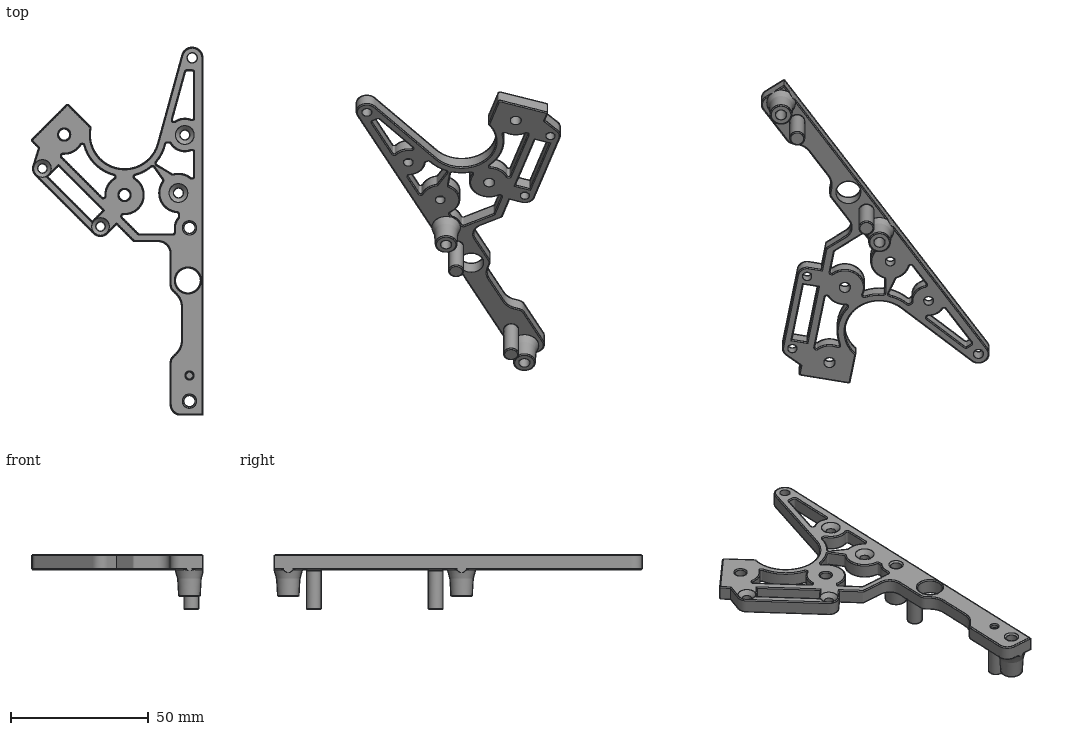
import cadquery as cq
import math


plate_thickness = 5.5
overall_width = 62.2
overall_height = 20.0
arm_length = 133.6
arm_width = 11.9
edge_chamfer = 0.4
window_fillet = 0.6

motor_spacing = 21.92
motor_x = -28.45
motor_y = 101.85
motor_clearance_radius = 12.4
ring_radius = 15.3
motor_hub_radius = 7.15
motor_screw_hole_diameter = 4.0
motor_center = (motor_x, motor_y)
upper_motor_screw = (motor_x - motor_spacing, motor_y)
lower_motor_screw = (motor_x, motor_y - motor_spacing)

tip_radius = 3.9
tip_center = (-tip_radius, arm_length - tip_radius)
tip_hole_diameter = 3.6

arm_screw_diameter = 3.5
arm_countersink_diameter = 6.8
lower_arm_hub_radius = 7.15
upper_arm_hub_radius = 6.1
upper_arm_screw = (-6.57, 101.7)
lower_arm_screw = (-8.9, 80.65)

bracket_screw_diameter = 3.3
bracket_countersink_diameter = 6.4
bracket_radius = 3.6
bracket_angle = -45
upper_bracket_screw = (-58.25, 89.55)
bracket_screw_spacing = 29.8
slot_length = 22.8
slot_width = 5.5
slot_offset = 2.0

standoff_x = -4.9
standoff_y_positions = (5.1, 68.0)
standoff_hole_diameter = 4.0
standoff_hole_chamfer = 0.6
standoff_length = 9.7
standoff_flare_height = 3.2
standoff_root_radius = 5.2
standoff_neck_radius = 4.3
standoff_end_radius = 3.95
standoff_end_chamfer = 0.4
upper_standoff_hub_radius = 5.5
pin_x = -4.2
pin_y_positions = (14.4, 58.6)
pin_diameter = 5.5
pin_chamfer = 0.4
pin_length = overall_height - plate_thickness

small_hole_center = (-4.9, 14.4)
small_hole_diameter = 2.5
small_hole_depth = 1.5
round_opening_center = (-5.45, 48.9)
round_opening_diameter = 9.0

waist_width = 7.8
waist_start_y = 20.4
waist_end_y = 46.0
waist_inner_start_y = waist_start_y + arm_width - waist_width
waist_inner_end_y = waist_end_y - arm_width + waist_width
waist_inner_fillet = 6.5
waist_outer_fillet = 3.0
corner_fillet = 3.8

brace_y = 63.0
brace_corner_x = -25.1
brace_notch_x = -31.35
brace_notch = (brace_notch_x, brace_y + brace_corner_x - brace_notch_x)
brace_fillet = 4.4
brace_corner_fillet = 1.0
brace_width = 2.75
diagonal_brace_width = 3.25
brace_sum = brace_corner_x + brace_y + diagonal_brace_width * math.sqrt(2)

mount_apex = (-49.15, 113.1)
mount_corner_fillet = 0.7
mount_left_x = -overall_width - mount_corner_fillet * (math.sqrt(2) - 1)
mount_left = (mount_left_x, mount_apex[1] - mount_apex[0] + mount_left_x)
mount_step_x = -59.7
mount_step = (mount_step_x, mount_left[1] + mount_left_x - mount_step_x)

rail_width = 3.4
slanted_rail_width = 2.9
top_window_upper_y = 125.0
top_window_lower_y = 106.6
middle_window_upper_y = 98.8
lower_window_right_x = lower_arm_screw[0]
strut_upper_edge = ((-18.4, 92.0), (-8.9, 86.2))
strut_lower_edge = ((-18.9, 91.5), (-13.0, 83.1))


def polar(center, radius, degrees):
    angle = math.radians(degrees)
    return (center[0] + radius * math.cos(angle), center[1] + radius * math.sin(angle))


def polygon(points):
    return cq.Workplane("XY").polyline(points).close().extrude(plate_thickness)


def disc(center, radius):
    return cq.Workplane("XY").center(*center).circle(radius).extrude(plate_thickness)


tip_dx = tip_center[0] - motor_x
tip_dy = tip_center[1] - motor_y
slant_angle = math.degrees(
    math.atan2(tip_dy, tip_dx)
    + math.asin((motor_clearance_radius + tip_radius) / math.hypot(tip_dx, tip_dy))
)
slant_start = polar(motor_center, motor_clearance_radius, slant_angle - 90)
slant_end = polar(tip_center, tip_radius, slant_angle + 90)

lower_bracket_screw = polar(upper_bracket_screw, bracket_screw_spacing, bracket_angle)


def clearance_start():
    """Where the 45 degree side that falls from the apex meets the motor clearance circle."""
    side_distance = (mount_apex[0] + mount_apex[1] - motor_x - motor_y) / math.sqrt(2)
    turn = math.degrees(math.acos(side_distance / motor_clearance_radius))
    return polar(motor_center, motor_clearance_radius, 45 + turn)


def bracket_edge(screw, degrees):
    return polar(screw, bracket_radius, degrees)


def outline():
    """Plate before its corners are rounded."""
    return (
        cq.Workplane("XY")
        .moveTo(0, 0)
        .lineTo(0, tip_center[1])
        .threePointArc(polar(tip_center, tip_radius, 90), slant_end)
        .lineTo(*slant_start)
        .threePointArc(polar(motor_center, motor_clearance_radius, 270), clearance_start())
        .lineTo(*mount_apex)
        .lineTo(*mount_left)
        .lineTo(*mount_step)
        .lineTo(*bracket_edge(upper_bracket_screw, 160))
        .threePointArc(bracket_edge(upper_bracket_screw, 190), bracket_edge(upper_bracket_screw, 225))
        .lineTo(*bracket_edge(lower_bracket_screw, 225))
        .threePointArc(bracket_edge(lower_bracket_screw, 270), bracket_edge(lower_bracket_screw, 315))
        .lineTo(*brace_notch)
        .lineTo(brace_corner_x, brace_y)
        .lineTo(-arm_width, brace_y)
        .lineTo(-arm_width, waist_end_y)
        .lineTo(-waist_width, waist_inner_end_y)
        .lineTo(-waist_width, waist_inner_start_y)
        .lineTo(-arm_width, waist_start_y)
        .lineTo(-arm_width, 0)
        .close()
        .extrude(plate_thickness)
    )


def fillet_at(body, x, y, radius):
    """Round the upright edge that stands at the given place."""
    reach = 0.05
    box = cq.selectors.BoxSelector(
        (x - reach, y - reach, -reach), (x + reach, y + reach, plate_thickness + reach)
    )
    return body.edges("|Z").edges(box).fillet(radius)


def rounded_outline():
    body = outline()
    body = fillet_at(body, -arm_width, 0, corner_fillet)
    body = fillet_at(body, -arm_width, brace_y, brace_fillet)
    for y in (waist_inner_end_y, waist_inner_start_y):
        body = fillet_at(body, -waist_width, y, waist_inner_fillet)
    for y in (waist_start_y, waist_end_y):
        body = fillet_at(body, -arm_width, y, waist_outer_fillet)
    body = fillet_at(body, brace_corner_x, brace_y, brace_corner_fillet)
    for x, y in (mount_apex, mount_left):
        body = fillet_at(body, x, y, mount_corner_fillet)
    return body


def top_window():
    slant = math.radians(slant_angle)
    shift = slanted_rail_width / math.sin(slant)

    def slanted_x(y):
        return slant_start[0] + shift + (y - slant_start[1]) / math.tan(slant)

    window = polygon([
        (slanted_x(top_window_lower_y), top_window_lower_y),
        (-rail_width, top_window_lower_y),
        (-rail_width, top_window_upper_y),
        (slanted_x(top_window_upper_y), top_window_upper_y),
    ])
    return window.cut(disc(upper_arm_screw, upper_arm_hub_radius))


def middle_window():
    window = polygon([
        strut_upper_edge[0],
        strut_upper_edge[1],
        lower_arm_screw,
        (-rail_width, lower_arm_screw[1]),
        (-rail_width, middle_window_upper_y),
        (motor_x + motor_clearance_radius, middle_window_upper_y),
    ])
    window = window.cut(disc(motor_center, ring_radius))
    window = window.cut(disc(upper_arm_screw, upper_arm_hub_radius))
    return window.cut(disc(lower_arm_screw, lower_arm_hub_radius))


def brace_foot(point):
    """Point of the diagonal brace's inner side that is nearest to the given point."""
    x = (brace_sum + point[0] - point[1]) / 2
    return (x, brace_sum - x)


def lower_window():
    bottom = brace_y + brace_width
    hub_center = (standoff_x, standoff_y_positions[1])
    rail_x = -10.45 + (standoff_x + 4.95)
    window = polygon([
        (brace_sum - bottom, bottom),
        (rail_x, bottom),
        (rail_x, hub_center[1]),
        (lower_window_right_x, hub_center[1]),
        (lower_window_right_x, lower_arm_screw[1]),
        strut_lower_edge[1],
        strut_lower_edge[0],
        motor_center,
        lower_motor_screw,
        brace_foot(lower_motor_screw),
    ])
    window = window.cut(disc(motor_center, ring_radius))
    window = window.cut(disc(lower_motor_screw, motor_hub_radius))
    window = window.cut(disc(lower_arm_screw, lower_arm_hub_radius))
    return window.cut(disc(hub_center, upper_standoff_hub_radius))


def motor_window():
    window = polygon([
        brace_foot(lower_motor_screw),
        lower_motor_screw,
        motor_center,
        upper_motor_screw,
        brace_foot(upper_motor_screw),
    ])
    window = window.cut(disc(motor_center, ring_radius))
    window = window.cut(disc(lower_motor_screw, motor_hub_radius))
    return window.cut(disc(upper_motor_screw, motor_hub_radius))


def bracket_slot():
    middle = polar(upper_bracket_screw, bracket_screw_spacing / 2, bracket_angle)
    center = polar(middle, slot_offset, bracket_angle + 90)
    slot = cq.Workplane("XY").rect(slot_length, slot_width).extrude(plate_thickness)
    return slot.rotate((0, 0, 0), (0, 0, 1), bracket_angle).translate((*center, 0))


def plate():
    body = rounded_outline()
    for window in (top_window(), middle_window(), lower_window(), motor_window()):
        body = body.cut(window.edges("|Z").fillet(window_fillet))
    body = body.cut(bracket_slot())
    return body.faces(">Z or <Z").edges().chamfer(edge_chamfer)


def standoff(y):
    """Tapered standoff with a wider root, trimmed to the plate's end and right side."""
    body = (
        cq.Workplane("XZ")
        .polyline([
            (0, edge_chamfer),
            (standoff_root_radius, edge_chamfer),
            (standoff_root_radius, 0),
            (standoff_neck_radius, -standoff_flare_height),
            (standoff_end_radius, standoff_end_chamfer - standoff_length),
            (standoff_end_radius - standoff_end_chamfer, -standoff_length),
            (0, -standoff_length),
        ])
        .close()
        .revolve(360, (0, 0), (0, 1))
        .translate((standoff_x, y, 0))
    )
    limits = cq.Workplane("XY").box(
        overall_width, arm_length, 2 * overall_height, centered=(True, False, True)
    )
    return body.intersect(limits.translate((-overall_width / 2, 0, 0)))


def pin(y):
    body = cq.Workplane("XY").center(pin_x, y).circle(pin_diameter / 2).extrude(-pin_length)
    return body.faces("<Z or >Z").chamfer(pin_chamfer)


def hole(center, diameter, chamfer, depth=plate_thickness):
    """Cutter for a hole from the plate top with a 45 degree entry chamfer."""
    radius = diameter / 2
    return (
        cq.Workplane("XZ")
        .polyline([
            (0, 0),
            (radius + chamfer, 0),
            (radius, -chamfer),
            (radius, -depth),
            (0, -depth),
        ])
        .close()
        .revolve(360, (0, 0), (0, 1))
        .translate((*center, plate_thickness))
    )


def countersunk_hole(center, diameter, countersink_diameter):
    return hole(center, diameter, (countersink_diameter - diameter) / 2)


def hole_cutters():
    cutters = [
        disc(tip_center, tip_hole_diameter / 2),
        hole(round_opening_center, round_opening_diameter, edge_chamfer),
        hole(small_hole_center, small_hole_diameter, edge_chamfer, small_hole_depth),
    ]
    for center in (upper_motor_screw, lower_motor_screw):
        cutters.append(hole(center, motor_screw_hole_diameter, edge_chamfer))
    for y in standoff_y_positions:
        depth = plate_thickness + standoff_length
        cutters.append(hole((standoff_x, y), standoff_hole_diameter, standoff_hole_chamfer, depth))
    for center in (upper_arm_screw, lower_arm_screw):
        cutters.append(countersunk_hole(center, arm_screw_diameter, arm_countersink_diameter))
    for center in (upper_bracket_screw, lower_bracket_screw):
        cutters.append(countersunk_hole(center, bracket_screw_diameter, bracket_countersink_diameter))
    return cutters


result = plate()
for position in standoff_y_positions:
    result = result.union(standoff(position))
for position in pin_y_positions:
    result = result.union(pin(position))
for cutter in hole_cutters():
    result = result.cut(cutter)